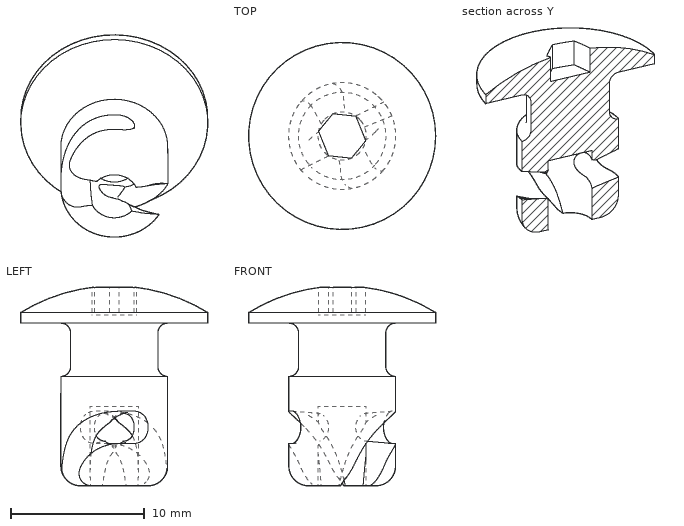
import cadquery as cq
import math

head_top = 14.88
rim_top = 12.98
rim_bottom = 12.17
shoulder_z = 8.2

head_radius = 14.0 / 2
neck_radius = 3.27
shank_radius = 4.0
neck_fillet = shank_radius - neck_radius
shank_end_round = 1.5

socket_radius = 1.8
socket_corner_angles = (55.2, 112.7, 168.3)
socket_depth = 2.08
widest_gap = socket_corner_angles[0] + 180 - socket_corner_angles[-1]
socket_narrowest = socket_radius * math.cos(math.radians(widest_gap / 2))

bore_radius = 1.8
bore_depth = 5.95

pin_radius = 1.2
pin_tip_radius = 1.0
dwell_z = 4.39
dwell_angle = -22.0
bend_start = -0.45
bend_radius = 5.0
bend_sweep = 60.0
bend_steps = 6
exit_length = 4.17
tip_dip = 0.9
dip_run = 2.38

cut_inner_radius = 0.75 * bore_radius
cut_outer_radius = 1.15 * shank_radius
overrun = (cut_outer_radius - shank_radius) / (shank_radius - cut_inner_radius)
pin_root_radius = pin_radius + overrun * (pin_radius - pin_tip_radius)
dwell_start = shank_radius * math.radians(dwell_angle)


def turned_body():
    dome_centre = (head_top**2 + socket_narrowest**2 - rim_top**2 - head_radius**2) / (
        2 * (head_top - rim_top)
    )
    dome_radius = math.hypot(head_radius, rim_top - dome_centre)
    mid_radius = head_radius / 2
    mid_z = dome_centre + math.sqrt(dome_radius**2 - mid_radius**2)
    fillet_mid = neck_fillet * (1 - math.sqrt(0.5))
    end_mid = shank_end_round * (1 - math.sqrt(0.5))
    profile = (
        cq.Workplane("XZ")
        .lineTo(shank_radius - shank_end_round, 0)
        .threePointArc((shank_radius - end_mid, end_mid), (shank_radius, shank_end_round))
        .lineTo(shank_radius, shoulder_z)
        .threePointArc(
            (neck_radius + fillet_mid, shoulder_z + fillet_mid),
            (neck_radius, shoulder_z + neck_fillet),
        )
        .lineTo(neck_radius, rim_bottom - neck_fillet)
        .threePointArc(
            (neck_radius + fillet_mid, rim_bottom - fillet_mid),
            (neck_radius + neck_fillet, rim_bottom),
        )
        .lineTo(head_radius, rim_bottom)
        .lineTo(head_radius, rim_top)
        .threePointArc((mid_radius, mid_z), (0, dome_centre + dome_radius))
        .close()
    )
    return profile.revolve(360, (0, 0, 0), (0, 1, 0))


def key_socket():
    angles = [math.radians(a + turn) for turn in (0, 180) for a in socket_corner_angles]
    corners = [(socket_radius * math.cos(a), socket_radius * math.sin(a)) for a in angles]
    return (
        cq.Workplane("XY")
        .workplane(offset=head_top - socket_depth)
        .polyline(corners)
        .close()
        .extrude(2 * socket_depth)
    )


def shank_bore():
    return cq.Workplane("XY").circle(bore_radius).extrude(bore_depth)


def slot_path():
    """Stations (distance around the shank, height, downward slope in radians)."""
    stations = [(dwell_start, dwell_z, 0.0), ((dwell_start + bend_start) / 2, dwell_z, 0.0)]
    for step in range(bend_steps + 1):
        slope = math.radians(bend_sweep * step / bend_steps)
        around = bend_start + bend_radius * math.sin(slope)
        height = dwell_z - bend_radius * (1 - math.cos(slope))
        stations.append((around, height, slope))
    around, height, slope = stations[-1]
    for run in (exit_length / 2, exit_length):
        stations.append((around + run * math.cos(slope), height - run * math.sin(slope), slope))
    return stations


def pin_section(around, height, slope):
    """Lengthwise section of the pin, square to its path at one station."""
    dip = tip_dip * min(1, (around - dwell_start) / dip_run)
    angle = around / shank_radius
    radial = cq.Vector(-math.cos(angle), math.sin(angle), 0)
    tangent = cq.Vector(math.sin(angle), math.cos(angle), 0)
    across = tangent * math.sin(slope) + cq.Vector(0, 0, math.cos(slope))
    inner = radial * cut_inner_radius + cq.Vector(0, 0, height - dip)
    outer = radial * cut_outer_radius + cq.Vector(0, 0, height + overrun * dip)
    tip = across * pin_tip_radius
    root = across * pin_root_radius
    corners = [inner - tip, outer - root, outer + root, inner + tip]
    return cq.Wire.makePolygon(corners, close=True)


def bayonet_slot():
    track = cq.Solid.makeLoft([pin_section(*station) for station in slot_path()])
    angle = math.radians(dwell_angle)
    radial = cq.Vector(-math.cos(angle), math.sin(angle), 0)
    start = radial * cut_inner_radius + cq.Vector(0, 0, dwell_z)
    end_pin = cq.Solid.makeCone(
        pin_tip_radius, pin_root_radius, cut_outer_radius - cut_inner_radius, start, radial
    )
    return cq.Workplane(track).union(cq.Workplane(end_pin))


result = turned_body().cut(key_socket()).cut(shank_bore())
slot = bayonet_slot()
for turn in (0, 180):
    result = result.cut(slot.rotate((0, 0, 0), (0, 0, 1), turn))